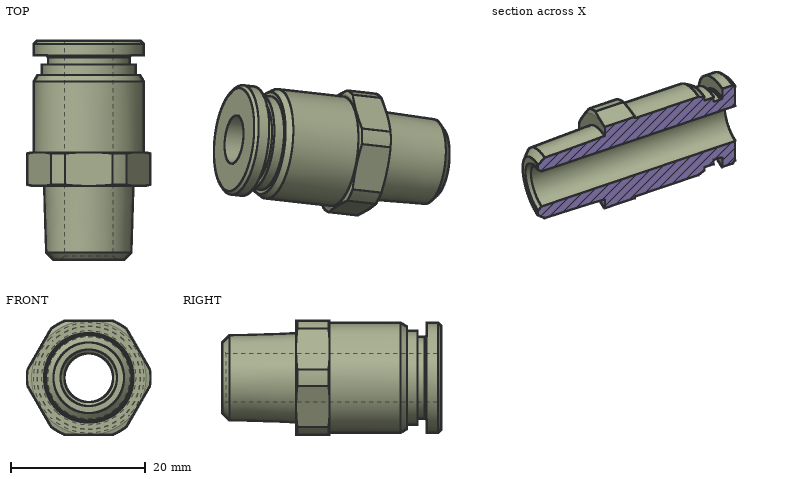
import cadquery as cq
import math

TOTAL_LENGTH = 32.6

COLLAR_RADIUS = 8.2
COLLAR_CHAMFER = 0.5
COLLAR_END = 2.2
NECK_RADIUS = 6.1
NECK_CONE_RADIUS = 6.2
NECK_CONE_END = 2.5
NECK_END = 3.55

RING_RADIUS = 7.0
RING_END = 5.1
SLEEVE_RADIUS = 8.2
SLEEVE_CHAMFER_LENGTH = 1.0
SLEEVE_CHAMFER_ANGLE = 30.0

HEX_START = 16.6
HEX_LENGTH = 5.0
HEX_ACROSS_FLATS = 17.0
HEX_CORNER_RADIUS = 9.2
HEX_CHAMFER_ANGLE = 15.0
HEX_TURN = 30.0

THREAD_TAPER = 1 / 16
THREAD_END_RADIUS = 6.35
THREAD_CHAMFER = 1.1

BORE_RADIUS = 3.6
BORE_CHAMFER = 0.6

SLEEVE_CHAMFER_HEIGHT = SLEEVE_CHAMFER_LENGTH * math.tan(math.radians(SLEEVE_CHAMFER_ANGLE))
HEX_END = HEX_START + HEX_LENGTH
THREAD_END = TOTAL_LENGTH - THREAD_CHAMFER
THREAD_ROOT_RADIUS = THREAD_END_RADIUS + (THREAD_END - HEX_END) * THREAD_TAPER / 2


def revolve_profile(outline):
    """Revolve the (radius, station) points, closed along the axis, about Y."""
    first_station = outline[0][1]
    last_station = outline[-1][1]
    closed_outline = [(0, first_station)] + outline + [(0, last_station)]
    points = [(radius, TOTAL_LENGTH - station) for radius, station in closed_outline]
    return cq.Workplane("XY").polyline(points).close().revolve(360, (0, 0, 0), (0, 1, 0))


def make_collar_and_sleeve():
    return revolve_profile([
        (COLLAR_RADIUS - COLLAR_CHAMFER, 0),
        (COLLAR_RADIUS, COLLAR_CHAMFER),
        (COLLAR_RADIUS, COLLAR_END),
        (NECK_CONE_RADIUS, COLLAR_END),
        (NECK_RADIUS, NECK_CONE_END),
        (NECK_RADIUS, NECK_END),
        (RING_RADIUS, NECK_END),
        (RING_RADIUS, RING_END),
        (SLEEVE_RADIUS - SLEEVE_CHAMFER_HEIGHT, RING_END),
        (SLEEVE_RADIUS, RING_END + SLEEVE_CHAMFER_LENGTH),
        (SLEEVE_RADIUS, HEX_START),
    ])


def make_hexagon():
    """Hexagon with flats facing +Z and -Z, its corners turned and chamfered."""
    flat_distance = HEX_ACROSS_FLATS / 2
    chamfer_length = (HEX_CORNER_RADIUS - flat_distance) * math.tan(math.radians(HEX_CHAMFER_ANGLE))
    prism = (
        cq.Workplane("XZ", origin=(0, TOTAL_LENGTH - HEX_START, 0))
        .polygon(6, HEX_ACROSS_FLATS, circumscribed=True)
        .extrude(HEX_LENGTH)
        .rotate((0, 0, 0), (0, 1, 0), HEX_TURN)
    )
    turned_blank = revolve_profile([
        (flat_distance, HEX_START),
        (HEX_CORNER_RADIUS, HEX_START + chamfer_length),
        (HEX_CORNER_RADIUS, HEX_END - chamfer_length),
        (flat_distance, HEX_END),
    ])
    return prism.intersect(turned_blank)


def make_thread():
    return revolve_profile([
        (THREAD_ROOT_RADIUS, HEX_END),
        (THREAD_END_RADIUS, THREAD_END),
        (THREAD_END_RADIUS - THREAD_CHAMFER, TOTAL_LENGTH),
    ])


def make_bore():
    """Through bore with a chamfered mouth at the thread end."""
    return revolve_profile([
        (BORE_RADIUS, 0),
        (BORE_RADIUS, TOTAL_LENGTH - BORE_CHAMFER),
        (BORE_RADIUS + BORE_CHAMFER, TOTAL_LENGTH),
    ])


result = make_collar_and_sleeve().union(make_hexagon()).union(make_thread()).cut(make_bore())